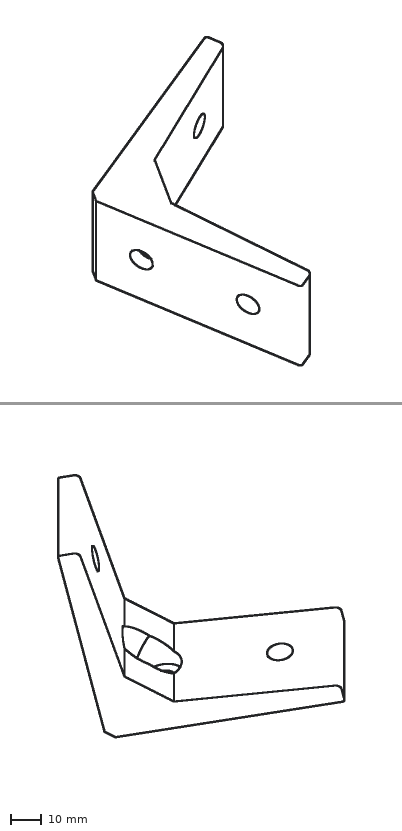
import cadquery as cq

leg_length = 80.0
height = 40.0

tip_thickness = 7.2
root_thickness = 11.2
gusset_end = 25.0
corner_chamfer = 3.0
outer_tip_radius = 1.0
inner_tip_radius = 2.0

hole_diameter = 8.5
bore_diameter = 15.0
bore_floor = 5.0
near_position, far_position = leg_length / 4, 3 * leg_length / 4


def edge_near(x, y):
    """Selector for the vertical edge passing through (x, y)."""
    return cq.selectors.NearestToPointSelector((x, y, height / 2))


def make_body():
    """Extrude the L-shaped section, symmetric about the line X = Y."""
    body = (
        cq.Workplane("XY")
        .moveTo(corner_chamfer, 0)
        .lineTo(leg_length, 0)
        .lineTo(leg_length, tip_thickness)
        .lineTo(gusset_end, root_thickness)
        .lineTo(root_thickness, gusset_end)
        .lineTo(tip_thickness, leg_length)
        .lineTo(0, leg_length)
        .lineTo(0, corner_chamfer)
        .close()
        .extrude(height)
    )
    body = body.edges(edge_near(leg_length, 0)).fillet(outer_tip_radius)
    body = body.edges(edge_near(0, leg_length)).fillet(outer_tip_radius)
    body = body.edges(edge_near(leg_length, tip_thickness)).fillet(inner_tip_radius)
    return body.edges(edge_near(tip_thickness, leg_length)).fillet(inner_tip_radius)


def make_leg_cutter(place_point, direction):
    """Holes through one leg; the one near the corner is counterbored from the inside."""

    def cylinder(diameter, position, depth):
        start = cq.Vector(*place_point(position, depth))
        return cq.Workplane(cq.Solid.makeCylinder(diameter / 2, leg_length, start, cq.Vector(*direction)))

    near_hole = cylinder(hole_diameter, near_position, 0)
    far_hole = cylinder(hole_diameter, far_position, 0)
    counterbore = cylinder(bore_diameter, near_position, bore_floor)
    return near_hole.union(counterbore).union(far_hole)


def point_on_x_leg(position, depth):
    """Point along the X leg, at a depth from its outer face."""
    return (position, depth, height / 2)


def point_on_y_leg(position, depth):
    """Point along the Y leg, at a depth from its outer face."""
    return (depth, position, height / 2)


result = make_body()
result = result.cut(make_leg_cutter(point_on_x_leg, (0, 1, 0)))
result = result.cut(make_leg_cutter(point_on_y_leg, (1, 0, 0)))